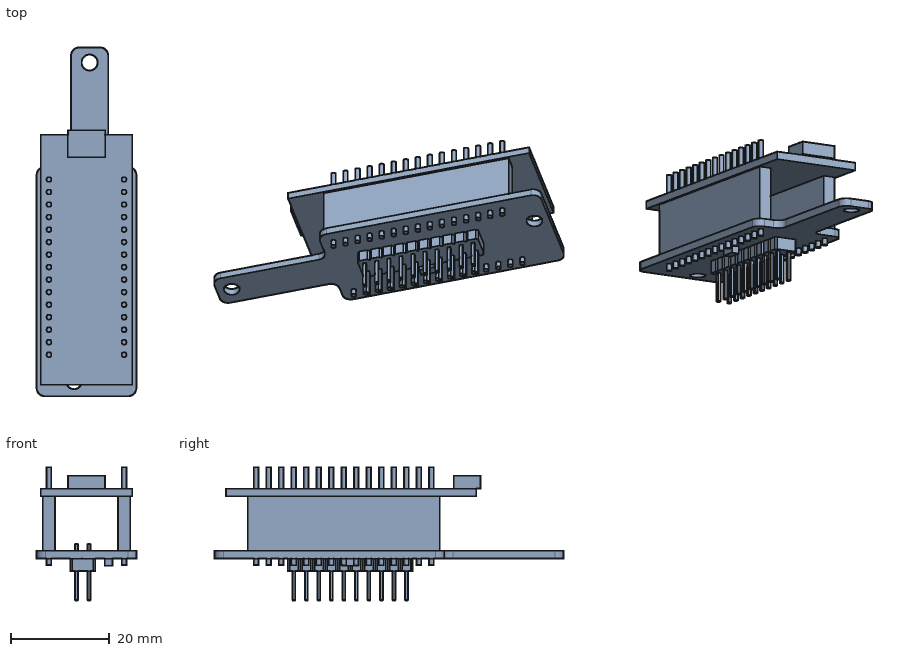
import cadquery as cq

PITCH = 2.54
BOARD_THICKNESS = 1.6
OVERALL_HEIGHT = 27.09

BASE_WIDTH = 8 * PITCH
BASE_BODY_LENGTH = 46.63
BASE_TOTAL_LENGTH = 70.87
TAIL_WIDTH = 3 * PITCH
TAIL_X = PITCH / 4
CORNER_RADIUS = 1.778
MOUNT_HOLE_DIAMETER = 3.2
MOUNT_HOLE_INSET = 3.1
FRONT_HOLE_X = -PITCH

MODULE_WIDTH = 18.6
MODULE_LENGTH = 50.8
MODULE_FRONT_Y = 2.35
STACK_GAP = 11.0
MODULE_Z = BOARD_THICKNESS + STACK_GAP
MODULE_TOP_Z = MODULE_Z + BOARD_THICKNESS
CONNECTOR_WIDTH = 7.6
CONNECTOR_LENGTH = 5.5
CONNECTOR_HEIGHT = 2.6
CONNECTOR_OVERHANG = 0.9

MODULE_PIN_DIAMETER = 1.0
MODULE_PIN_COUNT = 15
MODULE_ROW_SPACING = 6 * PITCH
MODULE_PINS_Y = 26.25
MODULE_PIN_BOTTOM_Z = -1.35
MODULE_PIN_TOP_Z = 18.55
SPACER_WIDTH = PITCH
SPACER_LENGTH = 39.0

HEADER_ROWS = 2
HEADER_COUNT = 10
HEADER_X = -0.762
HEADER_Y = 27.55
HEADER_BLOCK_HEIGHT = PITCH
HEADER_BLOCK_CHAMFER = 0.4
HEADER_PIN_SIZE = 0.64
HEADER_PIN_TIP_CHAMFER = 0.15
HEADER_PIN_BOTTOM_Z = MODULE_PIN_TOP_Z - OVERALL_HEIGHT
HEADER_PIN_TOP_Z = 3.0

COMPONENT_X = 4.5
COMPONENT_WIDTH = 1.6
COMPONENT_LENGTH = 3.2
COMPONENT_HEIGHT = 1.5


def box(width, length, height, x, y, z):
    """Box centred on x and y, standing on z."""
    return cq.Workplane("XY").box(width, length, height, centered=(True, True, False)).translate((x, y, z))


def module_pins():
    """All round module pins."""
    return (
        cq.Workplane("XY", origin=(0, MODULE_PINS_Y, MODULE_PIN_BOTTOM_Z))
        .rarray(MODULE_ROW_SPACING, PITCH, 2, MODULE_PIN_COUNT)
        .circle(MODULE_PIN_DIAMETER / 2)
        .extrude(MODULE_PIN_TOP_Z - MODULE_PIN_BOTTOM_Z)
    )


def header_pins():
    """All square header pins, tapered at both tips."""
    return (
        cq.Workplane("XY", origin=(HEADER_X, HEADER_Y, HEADER_PIN_BOTTOM_Z))
        .rarray(PITCH, PITCH, HEADER_ROWS, HEADER_COUNT)
        .rect(HEADER_PIN_SIZE, HEADER_PIN_SIZE)
        .extrude(HEADER_PIN_TOP_Z - HEADER_PIN_BOTTOM_Z)
        .faces("<Z or >Z")
        .chamfer(HEADER_PIN_TIP_CHAMFER)
    )


def make_base_board():
    """Board with a rounded tail, two mounting holes and a hole for every pin."""
    body = box(BASE_WIDTH, BASE_BODY_LENGTH, BOARD_THICKNESS, 0, BASE_BODY_LENGTH / 2, 0)
    tail = box(TAIL_WIDTH, BASE_TOTAL_LENGTH, BOARD_THICKNESS, TAIL_X, BASE_TOTAL_LENGTH / 2, 0)
    outline = body.union(tail).clean().edges("|Z").fillet(CORNER_RADIUS)
    mount_holes = (
        cq.Workplane("XY")
        .pushPoints([(FRONT_HOLE_X, MOUNT_HOLE_INSET), (TAIL_X, BASE_TOTAL_LENGTH - MOUNT_HOLE_INSET)])
        .circle(MOUNT_HOLE_DIAMETER / 2)
        .extrude(BOARD_THICKNESS)
    )
    return outline.cut(mount_holes).cut(module_pins()).cut(header_pins())


def make_module():
    """Upper board with its connector, spacer bars and pin rows."""
    module_back_y = MODULE_FRONT_Y + MODULE_LENGTH
    module_y = MODULE_FRONT_Y + MODULE_LENGTH / 2
    connector_y = module_back_y + CONNECTOR_OVERHANG - CONNECTOR_LENGTH / 2
    module = box(MODULE_WIDTH, MODULE_LENGTH, BOARD_THICKNESS, 0, module_y, MODULE_Z)
    module = module.union(
        box(CONNECTOR_WIDTH, CONNECTOR_LENGTH, CONNECTOR_HEIGHT, 0, connector_y, MODULE_TOP_Z)
    )
    for side in (-1, 1):
        spacer_x = side * MODULE_ROW_SPACING / 2
        module = module.union(
            box(SPACER_WIDTH, SPACER_LENGTH, STACK_GAP, spacer_x, MODULE_PINS_Y, BOARD_THICKNESS)
        )
    return module.union(module_pins())


def make_header():
    """Row of chamfered blocks joined side by side, with two pins through each block."""
    header = header_pins()
    for index in range(HEADER_COUNT):
        block_y = HEADER_Y + (index - (HEADER_COUNT - 1) / 2) * PITCH
        block = box(
            HEADER_ROWS * PITCH, PITCH, HEADER_BLOCK_HEIGHT, HEADER_X, block_y, -HEADER_BLOCK_HEIGHT
        )
        header = header.union(block.edges("|Z").chamfer(HEADER_BLOCK_CHAMFER))
    return header


def make_component():
    """Plain block against the underside of the base board."""
    return box(
        COMPONENT_WIDTH, COMPONENT_LENGTH, COMPONENT_HEIGHT, COMPONENT_X, HEADER_Y, -COMPONENT_HEIGHT
    )


base_board = make_base_board()
module = make_module()
header = make_header()
component = make_component()

bodies = [base_board, module, header, component]
result = cq.Compound.makeCompound([body.solids().val() for body in bodies])